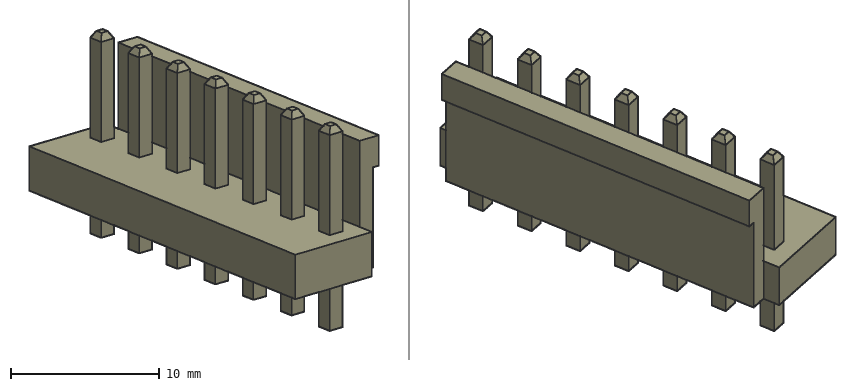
import cadquery as cq

pin_count = 7
pin_pitch = 3.96
pin_width = 1.14
pin_bottom_z = -3.7
pin_top_z = 10.9
tip_height = 0.5
tip_inset = 0.3

base_length = 27.66
base_depth = 6.8
base_height = 3.2
base_front_y = -4.8
base_back_y = base_front_y + base_depth

wall_length = 25.1
wall_thickness = 1.2
wall_height = 9.4
catch_overhang = 0.5
catch_height = 2.2


def make_base():
    """Rectangular block that carries the pins."""
    return cq.Workplane("XY").box(
        base_length, base_depth, base_height, centered=(True, False, False)
    ).translate((0, base_front_y, 0))


def make_locking_wall():
    """Hooked side profile in YZ, extruded along the length of the part."""
    wall_back_y = base_back_y + wall_thickness
    catch_back_y = wall_back_y + catch_overhang
    catch_bottom_z = wall_height - catch_height
    profile = [
        (base_back_y, 0),
        (wall_back_y, 0),
        (wall_back_y, catch_bottom_z),
        (catch_back_y, catch_bottom_z),
        (catch_back_y, wall_height),
        (base_back_y, wall_height),
    ]
    return cq.Workplane("YZ").polyline(profile).close().extrude(wall_length / 2, both=True)


def make_pin():
    """Square pin with a flat lower end and a tapered upper tip."""
    shank_top_z = pin_top_z - tip_height
    tip_width = pin_width - 2 * tip_inset
    shank = (
        cq.Workplane("XY", origin=(0, 0, pin_bottom_z))
        .rect(pin_width, pin_width)
        .extrude(shank_top_z - pin_bottom_z)
    )
    tip = (
        cq.Workplane("XY", origin=(0, 0, shank_top_z))
        .rect(pin_width, pin_width)
        .workplane(offset=tip_height)
        .rect(tip_width, tip_width)
        .loft(ruled=True)
    )
    return shank.union(tip)


result = make_base().union(make_locking_wall())

pin = make_pin()
first_pin_x = -(pin_count - 1) * pin_pitch / 2
for index in range(pin_count):
    pin_x = first_pin_x + index * pin_pitch
    result = result.union(pin.translate((pin_x, 0, 0)))